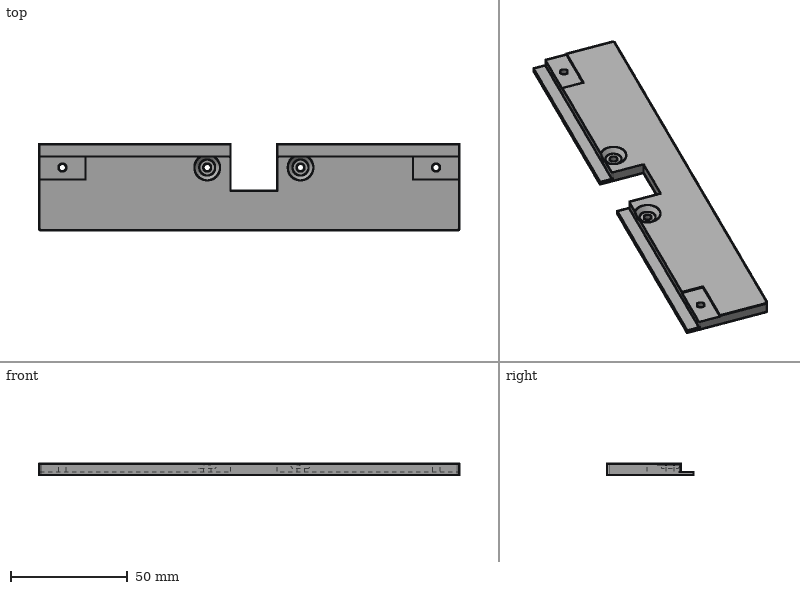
import cadquery as cq

length = 180.0
width = 37.0
thickness = 5.0

ledge_width = 5.4
ledge_thickness = 1.5

corner_radius = 1.0
step_corner_radius = 0.5
top_chamfer = 0.2

notch_center_x = 2.0
notch_width = 20.0
notch_depth = 20.0
notch_left = notch_center_x - notch_width / 2
notch_right = notch_center_x + notch_width / 2

pocket_length = 20.0
pocket_front = 15.1
pocket_depth = 0.5

hole_line = -10.0
hole_diameter = 3.2
end_hole_offset = length / 2 - pocket_length / 2
recess_offset = notch_width
recess_top_diameter = 11.0
recess_floor_diameter = 6.8
recess_depth = (recess_top_diameter - recess_floor_diameter) / 2


def block(x_min, x_max, y_min, y_max, z_min, z_max):
    """Box given by its limits along each axis."""
    return cq.Workplane("XY").box(
        x_max - x_min, y_max - y_min, z_max - z_min, centered=False
    ).translate((x_min, y_min, z_min))


notch = block(notch_left, notch_right, -notch_depth, 0, 0, thickness)


def make_base():
    """Full-width lower layer with rounded front corners."""
    base = block(-length / 2, length / 2, -width, 0, 0, ledge_thickness)
    return base.edges("|Z and <Y").fillet(corner_radius)


def make_raised_plate():
    """Full-height layer with rounded corners and a chamfered front and end rim."""
    plate = block(-length / 2, length / 2, -width, -ledge_width, 0, thickness)
    plate = plate.edges("|Z and <Y").fillet(corner_radius)
    plate = plate.faces(">Z").edges("<Y").chamfer(top_chamfer)
    plate = plate.cut(notch)
    return plate.edges("|Z and >Y").fillet(step_corner_radius)


def make_pocket(side):
    """Cutter for the shallow pocket at one end."""
    x_min, x_max = sorted((side * (length / 2 - pocket_length), side * length / 2))
    return block(x_min, x_max, -pocket_front, 0, thickness - pocket_depth, thickness)


def make_recess():
    """Conical cutter for the flat-floored screw-head recesses."""
    return (
        cq.Workplane("XY", origin=(0, hole_line, thickness - recess_depth))
        .circle(recess_floor_diameter / 2)
        .workplane(offset=recess_depth)
        .circle(recess_top_diameter / 2)
        .loft(ruled=True)
    )


result = make_base().cut(notch).union(make_raised_plate())

for side in (-1, 1):
    result = result.cut(make_pocket(side))
    result = result.cut(make_recess().translate((notch_center_x + side * recess_offset, 0, 0)))

hole_positions = [
    (center_x + side * offset, hole_line)
    for side in (-1, 1)
    for center_x, offset in ((0, end_hole_offset), (notch_center_x, recess_offset))
]
holes = cq.Workplane("XY").pushPoints(hole_positions).circle(hole_diameter / 2).extrude(thickness)
result = result.cut(holes)